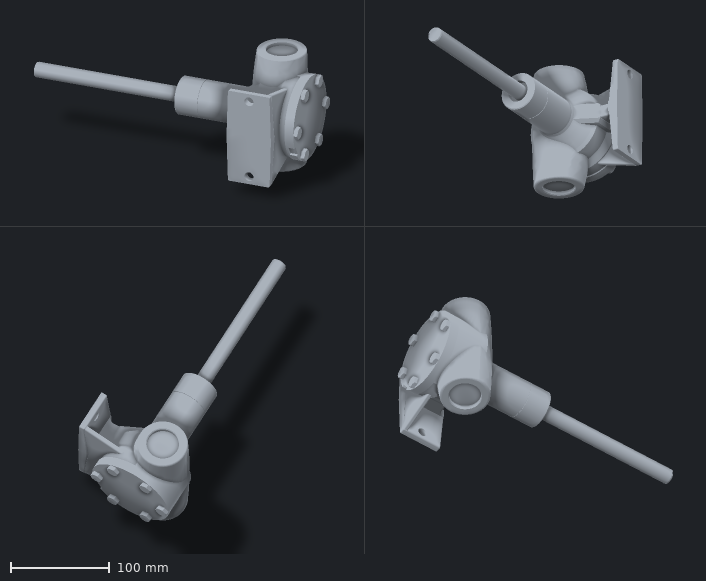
import cadquery as cq
import math


SHAFT_DIAMETER = 16.0
SHAFT_R = SHAFT_DIAMETER / 2
TIP_CHAMFER_LENGTH = 1.5
TIP_CHAMFER_RISE = 0.5
TIP_NOTCH_LENGTH = 1.5
TIP_NOTCH_WIDTH = 5.0
TIP_NOTCH_FLOOR_Y = 5.5

TUBE_R = 20.0
COLLAR_X = 158.3
COLLAR_CHAMFER = 1.0
COLLAR_BORE_R = 11.5
COLLAR_BORE_DEPTH = 6.0
GROOVE_X = 183.5
GROOVE_SIZE = 0.5
TUBE_END_X = 228.0

NECK_R = 21.2
NECK_X = 231.0
BOWL_R = 38.2
BOWL_X = 250.2
BOWL_EDGE = 3.0
STEP_X = 268.7
STEP_END_X = 276.0
FLANGE_R = 43.0
CREST_X = 253.0
CREST_R = 44.5

COVER_X = 289.0
COVER_END_X = 299.0
COVER_R = 45.0
COVER_DRAFT = 0.3
NOTCH_X = 291.0
NOTCH_WIDTH = 12.7
NOTCH_FLOOR_R = 42.0
NOTCH_ANGLE = 30
BOLT_COUNT = 6
BOLT_CIRCLE_R = 38.2
BOLT_CORNER_R = 6.7
BOLT_CHAMFER = 1.0
BOLT_TURN = 10
TOTAL_LENGTH = 303.2

PORT_X = 261.7
PORT_Y = 16.5
PORT_R = 25.5
PORT_HEIGHT = 127.0
PORT_HALF_HEIGHT = PORT_HEIGHT / 2
PORT_FILLET = 2.5
PORT_BORE_R = 16.5
PORT_BORE_DEPTH = 4.5
PORT_BORE_CHAMFER = 1.0
BELLY_X = 261.0
BELLY_Y = 12.5
BELLY_X_RADIUS = 28.5
BELLY_Y_RADIUS = 31.0

FOOT_BOTTOM = -69.7
FOOT_EDGE_TOP = -63.0
FOOT_MID_TOP = -58.5
FOOT_X0 = 236.0
FOOT_X1 = 284.5
FOOT_HALF_HEIGHT = 50.5
FOOT_END_INSET = 1.5
FOOT_CORNER_R = 1.5
FOOT_EDGE_FILLET = 1.8
FOOT_HOLE_X = 260.5
FOOT_HOLE_Z = 42.2
FOOT_HOLE_R = 5.0

WEB_X0 = 277.5
WEB_X1 = 283.0
WEB_MID_X = (WEB_X0 + WEB_X1) / 2
WEB_TOP_Y = -12.0
WEB_TOP_HALF_HEIGHT = 36.5
WEB_EDGE_FILLET = 1.8
BRACE_HALF_WIDTH = 11.0
BRACE_TIP_X = 243.0
BRACE_BOTTOM = -45.2
BRACE_CHAMFER = 3.5
SPINE_HALF_WIDTH = 6.7
SPINE_FILLET = 6.0
SPINE_EDGE_FILLET = 1.8


def rod(x0, x1, radius):
    """Cylinder on the shaft axis from x0 to x1."""
    return cq.Workplane("YZ").workplane(offset=x0).circle(radius).extrude(x1 - x0)


def block(x0, x1, y0, y1, z0, z1):
    """Axis-aligned box between two corners."""
    return cq.Workplane("XY").box(x1 - x0, y1 - y0, z1 - z0, centered=False).translate((x0, y0, z0))


def slab(points, half_width):
    """Outline in X and Y, extruded equally to both sides of Z = 0."""
    return cq.Workplane("XY").polyline(points).close().extrude(half_width, both=True)


def make_shaft():
    shaft = rod(0, TUBE_END_X, SHAFT_R)
    shaft = shaft.faces("<X").chamfer(TIP_CHAMFER_LENGTH, TIP_CHAMFER_RISE)
    half_notch = TIP_NOTCH_WIDTH / 2
    notch = block(0, TIP_NOTCH_LENGTH, TIP_NOTCH_FLOOR_Y, SHAFT_R, -half_notch, half_notch)
    return shaft.cut(notch)


def make_tube():
    tube = rod(COLLAR_X, NECK_X, TUBE_R).faces("<X").chamfer(COLLAR_CHAMFER)
    groove = rod(GROOVE_X, GROOVE_X + GROOVE_SIZE, TUBE_R)
    groove = groove.cut(rod(GROOVE_X, GROOVE_X + GROOVE_SIZE, TUBE_R - GROOVE_SIZE))
    bore = rod(COLLAR_X, COLLAR_X + COLLAR_BORE_DEPTH, COLLAR_BORE_R)
    return tube.cut(groove).cut(bore)


def make_bowl():
    outline = [
        (TUBE_END_X, 0),
        (TUBE_END_X, TUBE_R),
        (NECK_X, NECK_R),
        (BOWL_X - BOWL_EDGE, BOWL_R - BOWL_EDGE),
        (BOWL_X, BOWL_R),
        (STEP_X, BOWL_R),
        (STEP_END_X, FLANGE_R),
        (COVER_X, FLANGE_R),
        (COVER_X, 0),
    ]
    bowl = cq.Workplane("XY").polyline(outline).close().revolve(360, (0, 0, 0), (1, 0, 0))
    crest = rod(CREST_X, COVER_X, CREST_R)
    port_side = block(CREST_X, COVER_X, 0, CREST_R, -CREST_R, CREST_R)
    return bowl.union(crest.intersect(port_side))


def make_column():
    """Barrel from the lower port rim through the oval belly to the upper port rim."""
    column = (
        cq.Workplane("XY").workplane(offset=-PORT_HALF_HEIGHT)
        .center(PORT_X, PORT_Y).ellipse(PORT_R, PORT_R)
        .workplane(offset=PORT_HALF_HEIGHT)
        .center(BELLY_X - PORT_X, BELLY_Y - PORT_Y).ellipse(BELLY_X_RADIUS, BELLY_Y_RADIUS)
        .workplane(offset=PORT_HALF_HEIGHT)
        .center(PORT_X - BELLY_X, PORT_Y - BELLY_Y).ellipse(PORT_R, PORT_R)
        .loft()
    )
    return column.faces("|Z").edges().fillet(PORT_FILLET)


def cut_port_bores(body):
    bore_floor = PORT_HALF_HEIGHT - PORT_BORE_DEPTH
    bore = (
        cq.Workplane("XY").workplane(offset=bore_floor)
        .center(PORT_X, PORT_Y).circle(PORT_BORE_R).extrude(PORT_BORE_DEPTH)
    )
    mouth = (
        cq.Workplane("XY").workplane(offset=PORT_HALF_HEIGHT)
        .center(PORT_X, PORT_Y).circle(PORT_BORE_R + PORT_BORE_CHAMFER)
        .extrude(-PORT_BORE_CHAMFER, taper=45)
    )
    bore = bore.union(mouth)
    return body.cut(bore).cut(bore.mirror("XY"))


def make_bolt_head():
    """Hexagon head on the shaft axis, its outer corners turned off to a cone."""
    head = (
        cq.Workplane("YZ").workplane(offset=COVER_END_X)
        .polygon(6, 2 * BOLT_CORNER_R).extrude(TOTAL_LENGTH - COVER_END_X)
        .rotate((0, 0, 0), (1, 0, 0), BOLT_TURN)
    )
    turned = rod(COVER_END_X, TOTAL_LENGTH, BOLT_CORNER_R).faces(">X").chamfer(BOLT_CHAMFER)
    return head.intersect(turned)


def make_cover():
    cover_outline = [
        (COVER_X, 0),
        (COVER_X, COVER_R - COVER_DRAFT),
        (COVER_END_X, COVER_R),
        (COVER_END_X, 0),
    ]
    cover = cq.Workplane("XY").polyline(cover_outline).close().revolve(360, (0, 0, 0), (1, 0, 0))
    half_notch = NOTCH_WIDTH / 2
    notch = block(NOTCH_X, COVER_END_X, -COVER_R, -NOTCH_FLOOR_R, -half_notch, half_notch)
    cover = cover.cut(notch.rotate((0, 0, 0), (1, 0, 0), NOTCH_ANGLE))
    bolt = make_bolt_head()
    for index in range(BOLT_COUNT):
        angle = 2 * math.pi * index / BOLT_COUNT
        cover = cover.union(
            bolt.translate((0, BOLT_CIRCLE_R * math.cos(angle), BOLT_CIRCLE_R * math.sin(angle)))
        )
    return cover


def make_foot():
    """Plate with its back ridged at mid height, and two mounting holes."""
    outline = [
        (FOOT_BOTTOM, -FOOT_HALF_HEIGHT),
        (FOOT_EDGE_TOP, -FOOT_HALF_HEIGHT),
        (FOOT_MID_TOP, 0),
        (FOOT_EDGE_TOP, FOOT_HALF_HEIGHT),
        (FOOT_BOTTOM, FOOT_HALF_HEIGHT),
    ]
    plate = (
        cq.Workplane("YZ").workplane(offset=FOOT_X0)
        .polyline(outline).close().extrude(FOOT_X1 - FOOT_X0)
    )
    face_outline = [
        (FOOT_X0 + FOOT_END_INSET, -FOOT_HALF_HEIGHT),
        (FOOT_X1 - FOOT_END_INSET, -FOOT_HALF_HEIGHT),
        (FOOT_X1, 0),
        (FOOT_X1 - FOOT_END_INSET, FOOT_HALF_HEIGHT),
        (FOOT_X0 + FOOT_END_INSET, FOOT_HALF_HEIGHT),
        (FOOT_X0, 0),
    ]
    prism = (
        cq.Workplane("XZ").workplane(offset=-FOOT_MID_TOP)
        .polyline(face_outline).close().extrude(FOOT_MID_TOP - FOOT_BOTTOM)
        .edges("|Y").edges(">Z or <Z").fillet(FOOT_CORNER_R)
    )
    holes = (
        cq.Workplane("XZ").workplane(offset=-FOOT_MID_TOP)
        .pushPoints([(FOOT_HOLE_X, FOOT_HOLE_Z), (FOOT_HOLE_X, -FOOT_HOLE_Z)])
        .circle(FOOT_HOLE_R).extrude(FOOT_MID_TOP - FOOT_BOTTOM)
    )
    plate = plate.intersect(prism)
    back_rim = plate.edges().filter(
        lambda edge: edge.Center().y > FOOT_EDGE_TOP - FOOT_CORNER_R
        and abs(edge.Center().z) > FOOT_CORNER_R
    )
    plate = back_rim.fillet(FOOT_EDGE_FILLET)
    return plate.cut(holes)


def make_web():
    """Cross web behind the foot, widening from the bowl down to the plate."""
    outline = [
        (WEB_TOP_Y, -WEB_TOP_HALF_HEIGHT),
        (FOOT_EDGE_TOP, -FOOT_HALF_HEIGHT),
        (FOOT_EDGE_TOP, FOOT_HALF_HEIGHT),
        (WEB_TOP_Y, WEB_TOP_HALF_HEIGHT),
    ]
    web = (
        cq.Workplane("YZ").workplane(offset=WEB_X0)
        .polyline(outline).close().extrude(WEB_X1 - WEB_X0)
    )
    return web.edges("not(|X or |Z)").fillet(WEB_EDGE_FILLET)


def make_ribs():
    """Wide brace below the neck and the narrower spine from it to the foot."""
    brace_outline = [
        (NECK_X, 0),
        (NECK_X, -TUBE_R),
        (BRACE_TIP_X, BRACE_BOTTOM),
        (WEB_MID_X, BRACE_BOTTOM),
        (WEB_MID_X, 0),
    ]
    brace = slab(brace_outline, BRACE_HALF_WIDTH)
    lower_edges = brace.edges("(not |Z) and (not >Y) and (not >X) and (not <X)")
    brace = lower_edges.chamfer(BRACE_CHAMFER)
    foot_fillet_top = FOOT_MID_TOP + SPINE_FILLET
    spine = (
        cq.Workplane("XY")
        .moveTo(BRACE_TIP_X, BRACE_BOTTOM)
        .lineTo(BRACE_TIP_X, foot_fillet_top)
        .radiusArc((BRACE_TIP_X - SPINE_FILLET, FOOT_MID_TOP), SPINE_FILLET)
        .lineTo(BRACE_TIP_X - SPINE_FILLET, FOOT_EDGE_TOP)
        .lineTo(WEB_MID_X, FOOT_EDGE_TOP)
        .lineTo(WEB_MID_X, BRACE_BOTTOM)
        .close()
        .extrude(SPINE_HALF_WIDTH, both=True)
    )
    front_edges = spine.edges("not |Z").filter(
        lambda edge: edge.Center().x < BRACE_TIP_X + SPINE_EDGE_FILLET
    )
    spine = front_edges.fillet(SPINE_EDGE_FILLET)
    return brace.union(spine)


body = make_bowl().union(make_web()).union(make_ribs()).union(make_foot())
body = body.union(make_column()).union(make_tube()).union(make_cover()).union(make_shaft())
result = cut_port_bores(body)